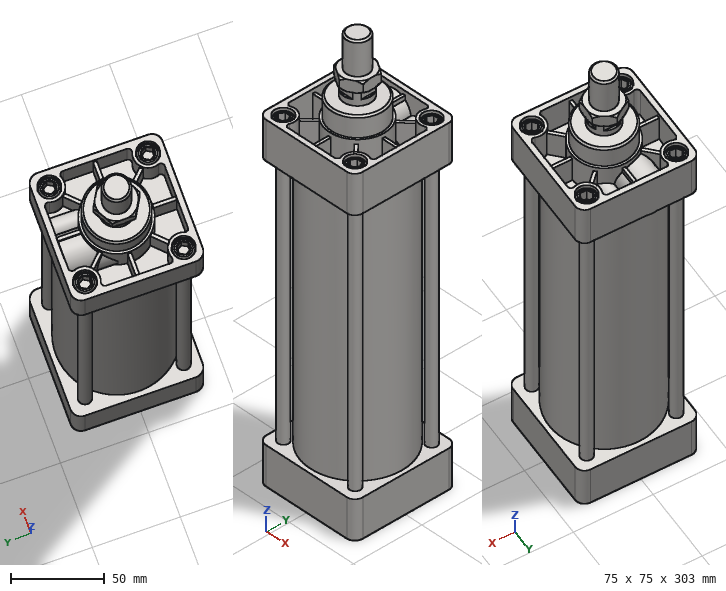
import cadquery as cq
import math

total_height = 303.0
cap_height = 28.0
head_top = 246.3
head_bottom = head_top - cap_height
boss_height = 14.5
boss_top = head_top + boss_height

cap_side = 75.0
cap_corner_radius = 6.0
tube_diameter = 69.0

tie_rod_diameter = 8.0
tie_rod_pitch = 56.0
tie_rod_offset = tie_rod_pitch / 2
counterbore_diameter = 13.0
counterbore_depth = 10.0
nut_diameter = 12.0
nut_chamfer = 1.05
nut_recess = 1.0
socket_across_flats = 6.7
socket_mouth_diameter = 8.0
socket_mouth_depth = 0.3
socket_depth = 7.5
tie_rod_places = [
    (x_side * tie_rod_offset, y_side * tie_rod_offset) for x_side in (-1, 1) for y_side in (-1, 1)
]

pocket_wall = 3.5
pocket_side = cap_side - 2 * pocket_wall
pocket_floor = 225.7
corner_post_diameter = 17.0
pocket_corner_fillet = 2.0

boss_diameter = 38.0
boss_chamfer = 1.2
hub_diameter = 41.0

rib_width = 2.0
rib_top = 243.3

port_barrel_diameter = 25.0
port_barrel_x = -7.0
port_barrel_z = 230.5
cushion_barrel_diameter = 13.0
cushion_barrel_x = 10.0
cushion_barrel_z = 227.2

rod_diameter = 20.0
rod_bottom = head_bottom
rod_flat_gap = 17.0
rod_flat_bottom = 265.0
thread_diameter = 16.0
thread_chamfer = 1.2
lock_nut_bottom = 271.0
lock_nut_height = 8.2
lock_nut_across_flats = 23.0
lock_nut_chamfer = 1.5


def cylinder(diameter, bottom, top):
    return cq.Workplane("XY").workplane(offset=bottom).circle(diameter / 2).extrude(top - bottom)


def across_corners(across_flats):
    """Corner-to-corner width of a hexagon."""
    return across_flats / math.cos(math.radians(30))


def square_cap(bottom, top):
    cap = cq.Workplane("XY").workplane(offset=bottom).rect(cap_side, cap_side).extrude(top - bottom)
    return cap.edges("|Z").fillet(cap_corner_radius)


def pocket():
    """Square cavity whose corners are taken by round posts for the tie rods."""
    height = head_top - pocket_floor
    base = cq.Workplane("XY").workplane(offset=pocket_floor)
    corner_block_side = pocket_side - tie_rod_pitch
    posts = base.pushPoints(tie_rod_places).circle(corner_post_diameter / 2).extrude(height)
    corner_blocks = (
        base.rect(pocket_side, pocket_side, forConstruction=True)
        .vertices()
        .rect(corner_block_side, corner_block_side)
        .extrude(height)
    )
    cavity = base.rect(pocket_side, pocket_side).extrude(height).cut(posts.union(corner_blocks))
    return cavity.edges("|Z").fillet(pocket_corner_fillet)


def ribs():
    """Straight and diagonal ribs crossing at the axis; the diagonals stop inside the corner posts."""
    height = rib_top - pocket_floor
    base = cq.Workplane("XY").workplane(offset=pocket_floor)
    star = base.rect(pocket_side, rib_width).extrude(height)
    star = star.union(base.rect(rib_width, pocket_side).extrude(height))
    diagonal_length = 2 * (math.sqrt(2) * tie_rod_offset - counterbore_diameter / 2)
    for angle in (45, 135):
        diagonal = base.transformed(rotate=(0, 0, angle)).rect(diagonal_length, rib_width).extrude(height)
        star = star.union(diagonal)
    return star


def barrel(diameter, x_place, z_place):
    """Cylinder along Y from the axis of the part to the +Y wall."""
    return cq.Workplane("XZ").center(x_place, z_place).circle(diameter / 2).extrude(-cap_side / 2)


def head():
    block = square_cap(head_bottom, head_top).cut(pocket())
    block = block.union(ribs())
    block = block.union(barrel(port_barrel_diameter, port_barrel_x, port_barrel_z))
    block = block.union(barrel(cushion_barrel_diameter, cushion_barrel_x, cushion_barrel_z))
    block = block.union(cylinder(hub_diameter, head_bottom, head_top))
    boss = cylinder(boss_diameter, head_top, boss_top).faces(">Z").chamfer(boss_chamfer)
    return block.union(boss)


def counterbores():
    base = cq.Workplane("XY").workplane(offset=head_top - counterbore_depth)
    return base.pushPoints(tie_rod_places).circle(counterbore_diameter / 2).extrude(counterbore_depth)


def socket_nut(place):
    """Round tie rod nut with a chamfered rim and a hexagon socket."""
    bottom = head_top - counterbore_depth
    top = head_top - nut_recess
    nut = cylinder(nut_diameter, bottom, top).faces(">Z").chamfer(nut_chamfer)
    socket_across_corners = across_corners(socket_across_flats)
    socket = cq.Workplane("XY").workplane(offset=top).polygon(6, socket_across_corners).extrude(-socket_depth)
    mouth = (
        cq.Workplane("XY")
        .workplane(offset=top)
        .circle(socket_mouth_diameter / 2)
        .workplane(offset=-socket_mouth_depth)
        .circle(socket_across_flats / 2)
        .loft(ruled=True)
    )
    return nut.cut(socket).cut(mouth).translate((*place, 0))


def cylinder_housing():
    """End caps, tube, tie rods and boss as one body, bored for the piston rod."""
    body = square_cap(0, cap_height)
    body = body.union(cylinder(tube_diameter, cap_height, head_bottom))
    body = body.union(head()).cut(counterbores())
    for place in tie_rod_places:
        tie_rod = cylinder(tie_rod_diameter, cap_height, head_bottom).translate((*place, 0))
        body = body.union(tie_rod).union(socket_nut(place))
    return body.cut(cylinder(rod_diameter, rod_bottom, boss_top))


def lock_nut():
    """Hexagon nut, flats facing X, with its corners turned off at both ends."""
    corner_diameter = across_corners(lock_nut_across_flats)
    lock_nut_top = lock_nut_bottom + lock_nut_height
    hexagon = (
        cq.Workplane("XY")
        .workplane(offset=lock_nut_bottom)
        .transformed(rotate=(0, 0, 30))
        .polygon(6, corner_diameter)
        .extrude(lock_nut_height)
    )
    turned = cylinder(corner_diameter, lock_nut_bottom, lock_nut_top)
    turned = turned.faces("<Z or >Z").chamfer(lock_nut_chamfer)
    return hexagon.intersect(turned)


def piston_rod():
    """Rod with four wrench flats below the lock nut and a reduced threaded end."""
    shank = cylinder(rod_diameter, rod_bottom, lock_nut_bottom)
    flats = (
        cq.Workplane("XY")
        .workplane(offset=rod_flat_bottom)
        .rect(rod_flat_gap, rod_flat_gap)
        .extrude(lock_nut_bottom - rod_flat_bottom)
    )
    round_part = cylinder(rod_diameter, rod_bottom, rod_flat_bottom)
    shank = shank.intersect(round_part.union(flats))
    thread = cylinder(thread_diameter, lock_nut_bottom, total_height).faces(">Z").chamfer(thread_chamfer)
    return shank.union(lock_nut()).union(thread)


housing = cylinder_housing()
rod = piston_rod()

result = cq.Compound.makeCompound([housing.val(), rod.val()])